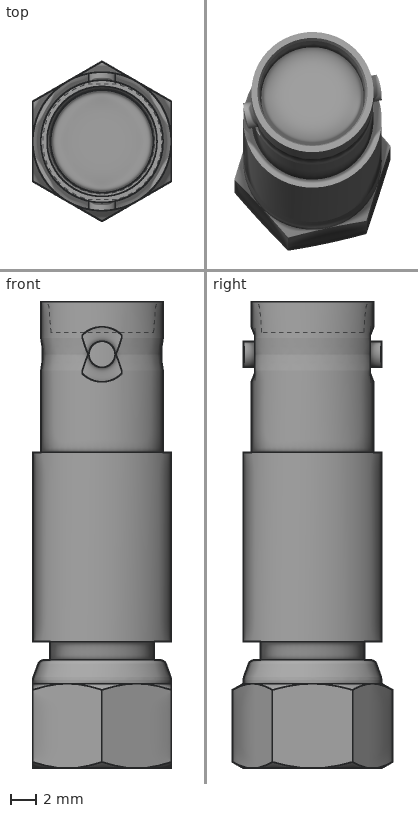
import cadquery as cq
import math

total_height = 37.0
across_flats = 11.0
nut_height = 6.7
nut_chamfer_angle = 30.0
sleeve_radius = across_flats / 2

collar_straight_top = 7.1
collar_top = 8.6
collar_taper_angle = 20.0
collar_top_fillet = 0.5
collar_base_fillet = 0.75

neck_radius = 4.15
sleeve_bottom = 10.03
sleeve_top = 25.05

barrel_radius = 4.85
groove_height = 32.82
groove_half_width = 1.3
groove_depth = 0.13

bore_mouth_radius = 4.35
bore_radius = 4.2
bore_floor_radius = 4.07
bore_mouth_chamfer = 0.45
bore_depth = 2.45

pin_radius = 1.05
pin_end = sleeve_radius
spot_radius = 2.2
spot_distance = 4.6


def revolve_profile(points):
    """Revolve an (r, z) outline about the Z axis."""
    return cq.Workplane("XZ").polyline(points).close().revolve(360, (0, 0, 0), (0, 1, 0))


def make_nut():
    """Hexagon with both ends turned down by a shallow cone."""
    corner_radius = across_flats / math.sqrt(3)
    chamfer_drop = (corner_radius - sleeve_radius) * math.tan(math.radians(nut_chamfer_angle))
    hexagon = cq.Workplane("XY").polygon(6, 2 * corner_radius).extrude(nut_height)
    hexagon = hexagon.rotate((0, 0, 0), (0, 0, 1), 90)
    envelope = revolve_profile([
        (0, 0),
        (sleeve_radius, 0),
        (corner_radius, chamfer_drop),
        (corner_radius, nut_height - chamfer_drop),
        (sleeve_radius, nut_height),
        (0, nut_height),
    ])
    return hexagon.intersect(envelope)


def make_collar():
    """Tapered collar with its taper blended into the straight side and the top face."""
    taper_height = collar_top - collar_straight_top
    top_radius = sleeve_radius - taper_height * math.tan(math.radians(collar_taper_angle))
    collar = revolve_profile([
        (0, nut_height),
        (sleeve_radius, nut_height),
        (sleeve_radius, collar_straight_top),
        (top_radius, collar_top),
        (0, collar_top),
    ])
    collar = collar.faces(">Z").edges().fillet(collar_top_fillet)
    selection_margin = 0.05
    taper_base = cq.selectors.BoxSelector(
        (-across_flats, -across_flats, collar_straight_top - selection_margin),
        (across_flats, across_flats, collar_straight_top + selection_margin),
    )
    return collar.edges(taper_base).fillet(collar_base_fillet)


def make_turned_body():
    """Neck, sleeve and grooved barrel, from bottom to top."""
    return revolve_profile([
        (0, collar_top),
        (neck_radius, collar_top),
        (neck_radius, sleeve_bottom),
        (sleeve_radius, sleeve_bottom),
        (sleeve_radius, sleeve_top),
        (barrel_radius, sleeve_top),
        (barrel_radius, groove_height - groove_half_width),
        (barrel_radius - groove_depth, groove_height),
        (barrel_radius, groove_height + groove_half_width),
        (barrel_radius, total_height),
        (0, total_height),
    ])


def make_bore():
    """Blind bore with a chamfered mouth and a wall narrowing slightly to its floor."""
    return revolve_profile([
        (0, total_height - bore_depth),
        (bore_floor_radius, total_height - bore_depth),
        (bore_radius, total_height - bore_mouth_chamfer),
        (bore_mouth_radius, total_height),
        (0, total_height),
    ])


def cylinder_along_y(radius, start, end):
    """Cylinder parallel to Y at groove height, between two distances from the axis."""
    direction = cq.Vector(0, math.copysign(1, end), 0)
    base = cq.Vector(0, start, groove_height)
    return cq.Workplane(cq.Solid.makeCylinder(radius, abs(end - start), base, direction))


result = make_nut().union(make_collar()).union(make_turned_body()).cut(make_bore())

pin_envelope = cq.Workplane("XY").circle(pin_end).extrude(total_height)
for side in (-1, 1):
    result = result.cut(cylinder_along_y(spot_radius, side * spot_distance, side * pin_end))
    pin = cylinder_along_y(pin_radius, side * bore_mouth_radius, side * pin_end)
    result = result.union(pin.intersect(pin_envelope))